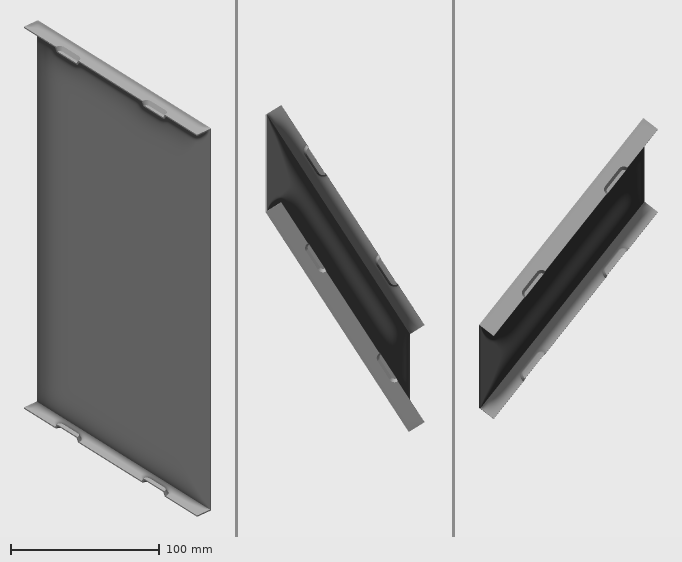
import cadquery as cq

WIDTH = 180.0
DEPTH = 12.5
HEIGHT = 304.5
SHEET = 1.0

DIMPLE_OFFSET = WIDTH / 4
DIMPLE_LENGTH = 25.0
DIMPLE_REACH = 5.0
DIMPLE_DROP = 3.0
WALL_LEAN = 30.0

FRONT_Y = -DEPTH / 2
TOP_Z = HEIGHT / 2


def make_channel():
    """Web at the back with a flange along the top and bottom edges."""
    block = cq.Workplane("XY").box(WIDTH, DEPTH, HEIGHT)
    hollow = cq.Workplane("XY").box(WIDTH, DEPTH, HEIGHT - 2 * SHEET).translate((0, -SHEET, 0))
    return block.cut(hollow)


def tapered_slot(x, z, length, reach):
    """Round-ended slot form centred on the flange edge, narrowing downward from height z."""
    return (
        cq.Workplane("XY", origin=(x, FRONT_Y, z))
        .slot2D(length, 2 * reach)
        .extrude(-DIMPLE_DROP, taper=WALL_LEAN)
    )


def press_dimple(panel, x):
    """Press one dimple into the top flange and its mirror image into the bottom flange."""
    skin = tapered_slot(x, TOP_Z - SHEET, DIMPLE_LENGTH, DIMPLE_REACH)
    skin = skin.intersect(cq.Workplane("XY").box(WIDTH, DEPTH, HEIGHT))
    recess = tapered_slot(x, TOP_Z, DIMPLE_LENGTH - 2 * SHEET, DIMPLE_REACH - SHEET)
    panel = panel.union(skin).union(skin.mirror("XY"))
    return panel.cut(recess).cut(recess.mirror("XY"))


result = make_channel()
for side in (-1, 1):
    result = press_dimple(result, side * DIMPLE_OFFSET)